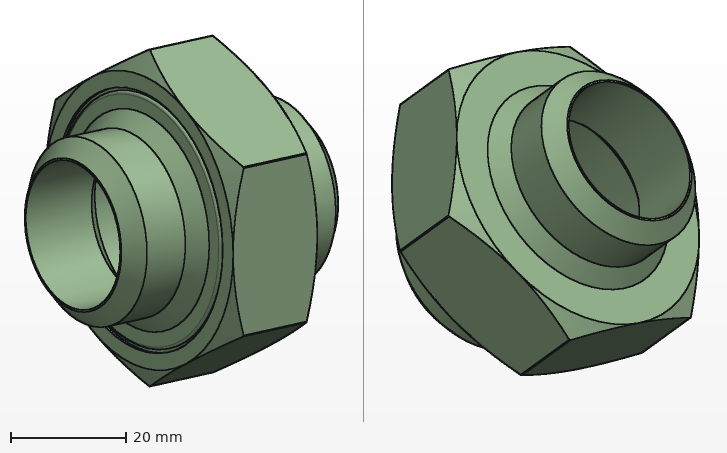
import cadquery as cq
import math

length = 48.0
bore_diameter = 26.5
pipe_diameter = 33.7
land_diameter = 27.2
flange_diameter = 39.5
bevel_length = 3.1
flare_length = 3.0

nut_across_flats = 53.0
nut_across_corners = 61.05
front_pipe_length = 14.6
nut_front = front_pipe_length - length / 2
nut_width = 18.6
nut_back = nut_front + nut_width
nut_chamfer_angle = 30
corner_angle = 30

ring_outer_diameter = 47.0
ring_inner_diameter = 45.85
ring_depth = 0.55

chamber_length = 18.9
chamber_depth = 3.35


def revolve_profile(points):
    """Turn (radius, y) points into a solid about the Y axis."""
    return cq.Workplane("XY").polyline(points).close().revolve(360, (0, 0), (0, 1))


def make_pipe():
    pipe = pipe_diameter / 2
    land = land_diameter / 2
    flange = flange_diameter / 2
    end = length / 2
    return revolve_profile([
        (0, -end),
        (land, -end),
        (pipe, -end + bevel_length),
        (pipe, nut_front - flare_length),
        (flange, nut_front),
        (flange, nut_back),
        (pipe, nut_back + flare_length),
        (pipe, end - bevel_length),
        (land, end),
        (0, end),
    ])


def make_nut():
    """Hexagon with corners up and down, blunted and chamfered at both ends."""
    sharp_corners = nut_across_flats / math.cos(math.pi / 6)
    prism = (
        cq.Workplane("XZ", origin=(0, nut_back, 0))
        .transformed(rotate=(0, 0, corner_angle))
        .polygon(6, sharp_corners)
        .extrude(nut_width)
    )
    flat = nut_across_flats / 2
    corner = nut_across_corners / 2
    chamfer = (corner - flat) * math.tan(math.radians(nut_chamfer_angle))
    envelope = revolve_profile([
        (0, nut_front),
        (flat, nut_front),
        (corner, nut_front + chamfer),
        (corner, nut_back - chamfer),
        (flat, nut_back),
        (0, nut_back),
    ])
    return prism.intersect(envelope)


def make_clearance_ring():
    """Groove with a straight outer wall and a rounded inner edge on the body."""
    outer = ring_outer_diameter / 2
    inner = ring_inner_diameter / 2
    floor = nut_front + ring_depth
    diagonal = ring_depth * math.sqrt(0.5)
    round_middle = (inner - ring_depth + diagonal, floor - diagonal)
    return (
        cq.Workplane("XY")
        .moveTo(inner - ring_depth, nut_front)
        .lineTo(outer, nut_front)
        .lineTo(outer, floor)
        .lineTo(inner, floor)
        .threePointArc(round_middle, (inner - ring_depth, nut_front))
        .close()
        .revolve(360, (0, 0), (0, 1))
    )


def make_bore():
    bore = bore_diameter / 2
    chamber = bore + chamber_depth
    chamber_end = chamber_length / 2
    end = length / 2
    return revolve_profile([
        (0, -end),
        (bore, -end),
        (bore, -chamber_end),
        (chamber, -chamber_end + chamber_depth),
        (chamber, chamber_end - chamber_depth),
        (bore, chamber_end),
        (bore, end),
        (0, end),
    ])


result = make_pipe().union(make_nut()).cut(make_clearance_ring()).cut(make_bore())